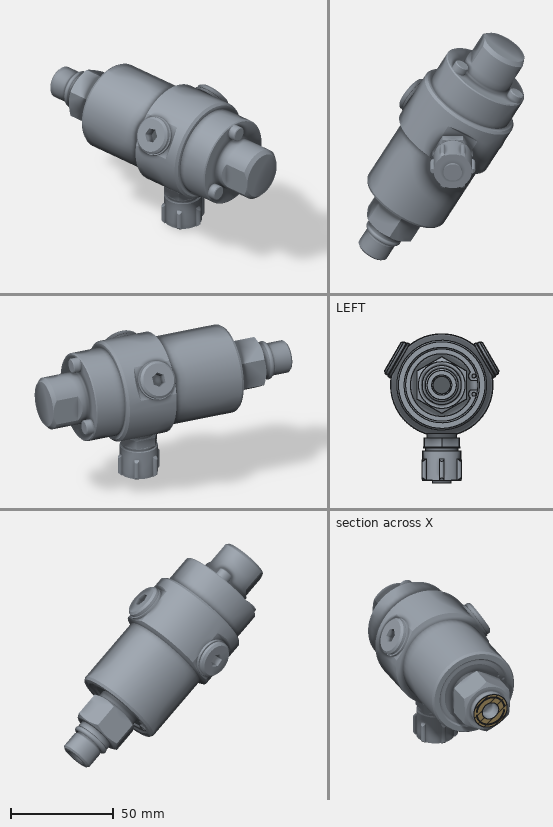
import cadquery as cq
import math

overall_length = 129.0

thread_end = 9.9
seal_center = 11.5
collar_start = 12.8
rotor_hex_start = 15.6
rotor_hex_end = 30.6
rotor_end = 64.5
thread_d = 16.0
thread_chamfer = 0.9
groove_d = 14.5
seal_outer_d = 19.0
seal_section_r = 1.3
collar_d = 18.0
rotor_hex_flats = 23.9
rotor_hex_front_d = 22.7
rotor_hex_chamfer_angle = 30.0
hub_d = 21.7
rotor_bore_d = 8.5
rotor_bore_chamfer = 0.6

barrel_start = 32.0
band_start = 68.1
band_end = 95.6
flange_end = 110.7
barrel_d = 43.6
barrel_chamfer_length = 1.3
barrel_chamfer_depth = 0.8
flange_chamfer = 0.5
band_d = 49.8
band_front_chamfer = 1.4
band_rear_chamfer = 1.2

connection_x = 78.5
flat_distance = 23.5
flat_end = 88.3
plug_tilt = 60.0
fitting_tilt = 180.0

recess_d = 35.1
recess_chamfer = 0.8
recess_depth = 1.8
ring_depth = 0.8
ring_inner_d = 30.5
ring_gap = 4.6
ear_r = 2.6
ear_center_y = -15.6
ear_center_z = 4.45
ear_hole_d = 1.9

port_d = 25.7
port_chamfer = 1.8
port_root_fillet = 1.0
port_flats = 22.2
port_flat_start = 116.0
screw_d = 7.2
screw_circle_r = 17.7
screw_head_height = 3.9
screw_chamfer = 0.4
screw_angles = (90, 210, 330)

plug_seal_top = 24.6
plug_head_base = 25.0
plug_top = 27.5
plug_seal_d = 19.0
plug_neck_d = 17.0
plug_head_d = 18.0
plug_chamfer = 1.0
socket_corners_d = 7.2
socket_depth = 5.5
front_socket_turn = 11.0
rear_socket_turn = 30.0

fitting_hex_top = 25.7
fitting_hex_bottom = 30.0
washer_bottom = 30.6
sleeve_top = 32.0
knob_top = 35.9
knob_bottom = 46.3
fitting_bottom = 47.6
fitting_neck_d = 14.5
fitting_hex_flats = 17.0
washer_d = 17.8
fitting_groove_d = 16.0
knob_d = 18.6
stub_d = 9.0
rib_count = 6
rib_r = 1.2
rib_circle_r = 9.8
rib_chamfer = 1.2


def turned(profile):
    """Solid of revolution about X from (x, radius) points; the axis closes the outline."""
    outline = [(profile[0][0], 0), *profile, (profile[-1][0], 0)]
    return cq.Workplane("XY").polyline(outline).close().revolve(360, (0, 0, 0), (1, 0, 0))


def corners_from_flats(across_flats):
    """Diameter across the corners of a hexagon."""
    return across_flats / math.cos(math.pi / 6)


def rotor_hex():
    """Wrench hexagon with its corners at +/-Z and both ends coned."""
    corner_d = corners_from_flats(rotor_hex_flats)
    slope = math.tan(math.radians(rotor_hex_chamfer_angle))
    front_cone = (corner_d - rotor_hex_front_d) / 2 * slope
    back_cone = (corner_d - hub_d) / 2 * slope
    prism = (
        cq.Workplane("YZ", origin=(rotor_hex_start, 0, 0))
        .transformed(rotate=(0, 0, 90))
        .polygon(6, corner_d)
        .extrude(rotor_hex_end - rotor_hex_start)
    )
    coned_blank = turned([
        (rotor_hex_start, rotor_hex_front_d / 2),
        (rotor_hex_start + front_cone, corner_d / 2),
        (rotor_hex_end - back_cone, corner_d / 2),
        (rotor_hex_end, hub_d / 2),
    ])
    return prism.intersect(coned_blank)


def make_rotor():
    """Threaded nipple with an O-ring, collar, hexagon, and a hub running into the housing."""
    thread_r = thread_d / 2
    shaft = turned([
        (0, thread_r - thread_chamfer),
        (thread_chamfer, thread_r),
        (thread_end - thread_chamfer, thread_r),
        (thread_end, groove_d / 2),
        (collar_start, groove_d / 2),
        (collar_start, collar_d / 2),
        (rotor_hex_start, collar_d / 2),
        (rotor_hex_start, hub_d / 2),
        (rotor_end, hub_d / 2),
    ])
    seal_r = seal_outer_d / 2 - seal_section_r
    seal = (
        cq.Workplane("XY", origin=(seal_center, seal_r, 0))
        .circle(seal_section_r)
        .revolve(360, (0, -seal_r, 0), (1, -seal_r, 0))
    )
    bore_r = rotor_bore_d / 2
    bore = turned([
        (0, bore_r + rotor_bore_chamfer),
        (rotor_bore_chamfer, bore_r),
        (rotor_end, bore_r),
    ])
    return shaft.union(seal).union(rotor_hex()).cut(bore)


def band_flat_cutter(tilt):
    """Block that mills one flat on the band, open to the front and closed by a 45 degree slope."""
    height = 2 * (band_d / 2 - flat_distance)
    side = [
        (band_start, flat_distance),
        (flat_end, flat_distance),
        (flat_end + height, flat_distance + height),
        (band_start, flat_distance + height),
    ]
    cutter = cq.Workplane("XZ").polyline(side).close().extrude(band_d / 2, both=True)
    return cutter.rotate((0, 0, 0), (1, 0, 0), tilt)


def housing_blank():
    """Barrel, band and flange, with the three flats milled on the band."""
    barrel_r = barrel_d / 2
    band_r = band_d / 2
    blank = turned([
        (barrel_start, barrel_r - barrel_chamfer_depth),
        (barrel_start + barrel_chamfer_length, barrel_r),
        (band_start, barrel_r),
        (band_start + band_front_chamfer, band_r),
        (band_end - band_rear_chamfer, band_r),
        (band_end, band_r - band_rear_chamfer),
        (band_end, barrel_r),
        (flange_end - flange_chamfer, barrel_r),
        (flange_end, barrel_r - flange_chamfer),
    ])
    for tilt in (plug_tilt, -plug_tilt, fitting_tilt):
        blank = blank.cut(band_flat_cutter(tilt))
    return blank


def front_recess():
    """Chamfered recess in the front face, down to the bearing face."""
    recess_r = recess_d / 2
    return turned([
        (barrel_start, recess_r + recess_chamfer),
        (barrel_start + recess_chamfer, recess_r),
        (barrel_start + recess_depth, recess_r),
    ])


def retaining_ring():
    """Open ring lying in the recess, with two holed ears beside its gap on the -Y side."""
    plane = cq.Workplane("YZ", origin=(barrel_start + ring_depth, 0, 0))
    thickness = recess_depth - ring_depth
    ear_centers = [(ear_center_y, ear_center_z), (ear_center_y, -ear_center_z)]
    ring = plane.circle(recess_d / 2).circle(ring_inner_d / 2).extrude(thickness)
    ears = plane.pushPoints(ear_centers).circle(ear_r).extrude(thickness)
    outer_limit = plane.circle(recess_d / 2).extrude(thickness)
    gap = plane.center(-recess_d / 2, 0).rect(recess_d, ring_gap).extrude(thickness)
    ear_holes = plane.pushPoints(ear_centers).circle(ear_hole_d / 2).extrude(thickness)
    return ring.union(ears.intersect(outer_limit)).cut(gap).cut(ear_holes)


def outlet_port():
    """Round boss on the flange with a filleted root and two wrench flats facing +/-Y."""
    port_r = port_d / 2
    root_r = port_r + port_root_fillet
    fillet_end = flange_end + port_root_fillet
    mid_offset = port_root_fillet * (1 - math.sqrt(0.5))
    port = (
        cq.Workplane("XY")
        .moveTo(flange_end, 0)
        .lineTo(flange_end, root_r)
        .threePointArc((flange_end + mid_offset, port_r + mid_offset), (fillet_end, port_r))
        .lineTo(overall_length - port_chamfer, port_r)
        .lineTo(overall_length, port_r - port_chamfer)
        .lineTo(overall_length, 0)
        .close()
        .revolve(360, (0, 0, 0), (1, 0, 0))
    )
    flat_y = port_flats / 2
    depth = port_d / 2
    for side in (1, -1):
        outline = [
            (port_flat_start, side * flat_y),
            (overall_length, side * flat_y),
            (overall_length, side * (flat_y + depth)),
            (port_flat_start - depth, side * (flat_y + depth)),
        ]
        port = port.cut(cq.Workplane("XY").polyline(outline).close().extrude(port_d, both=True))
    return port


def flange_screw(angle):
    """Cylindrical screw head on the rear of the flange."""
    center_y = screw_circle_r * math.cos(math.radians(angle))
    center_z = screw_circle_r * math.sin(math.radians(angle))
    return (
        cq.Workplane("YZ", origin=(flange_end, center_y, center_z))
        .circle(screw_d / 2)
        .extrude(screw_head_height)
        .faces(">X")
        .chamfer(screw_chamfer)
    )


def connection_disc(start, end, diameter):
    """Disc on the vertical line shared by the plugs and the fitting, between two heights."""
    return cq.Workplane("XY", origin=(connection_x, 0, start)).circle(diameter / 2).extrude(end - start)


def plug(tilt):
    """Sealed screw plug standing on a band flat."""
    body = connection_disc(flat_distance, plug_seal_top, plug_seal_d)
    body = body.union(connection_disc(plug_seal_top, plug_head_base, plug_neck_d))
    head = connection_disc(plug_head_base, plug_top, plug_head_d).faces(">Z").chamfer(plug_chamfer)
    return body.union(head).rotate((0, 0, 0), (1, 0, 0), tilt)


def plug_socket(tilt, socket_turn):
    """Hexagon socket sunk into a plug, turned about the plug axis."""
    return (
        cq.Workplane("XY", origin=(connection_x, 0, plug_top))
        .transformed(rotate=(0, 0, socket_turn))
        .polygon(6, socket_corners_d)
        .extrude(-socket_depth)
        .rotate((0, 0, 0), (1, 0, 0), tilt)
    )


def fitting():
    """Tube fitting pointing down: neck, hexagon, washer, sleeve, ribbed knob and stub."""
    body = connection_disc(-flat_distance, -fitting_hex_top, fitting_neck_d)
    hexagon = (
        cq.Workplane("XY", origin=(connection_x, 0, -fitting_hex_bottom))
        .polygon(6, corners_from_flats(fitting_hex_flats))
        .extrude(fitting_hex_bottom - fitting_hex_top)
    )
    body = body.union(hexagon)
    body = body.union(connection_disc(-fitting_hex_bottom, -washer_bottom, washer_d))
    body = body.union(connection_disc(-washer_bottom, -sleeve_top, fitting_groove_d))
    body = body.union(connection_disc(-sleeve_top, -knob_bottom, knob_d))
    body = body.union(connection_disc(-knob_bottom, -fitting_bottom, stub_d))
    ribs = (
        cq.Workplane("XY", origin=(connection_x, 0, -knob_bottom))
        .polarArray(rib_circle_r, 0, 360, rib_count)
        .circle(rib_r)
        .extrude(knob_bottom - knob_top)
    )
    rib_tip_d = 2 * (rib_circle_r + rib_r)
    rib_limit = connection_disc(-knob_top, -knob_bottom, rib_tip_d).edges("%CIRCLE").chamfer(rib_chamfer)
    return body.union(ribs.intersect(rib_limit))


def make_housing():
    """Stationary body with its retaining ring, port, screws, plugs and fitting."""
    body = housing_blank().cut(front_recess()).union(retaining_ring()).union(outlet_port())
    for angle in screw_angles:
        body = body.union(flange_screw(angle))
    for tilt, socket_turn in ((plug_tilt, front_socket_turn), (-plug_tilt, rear_socket_turn)):
        body = body.union(plug(tilt)).cut(plug_socket(tilt, socket_turn))
    rotor_seat = turned([(barrel_start, hub_d / 2), (rotor_end, hub_d / 2)])
    return body.union(fitting()).cut(rotor_seat)


rotor = make_rotor()
housing = make_housing()
result = cq.Compound.makeCompound([rotor.val(), housing.val()])